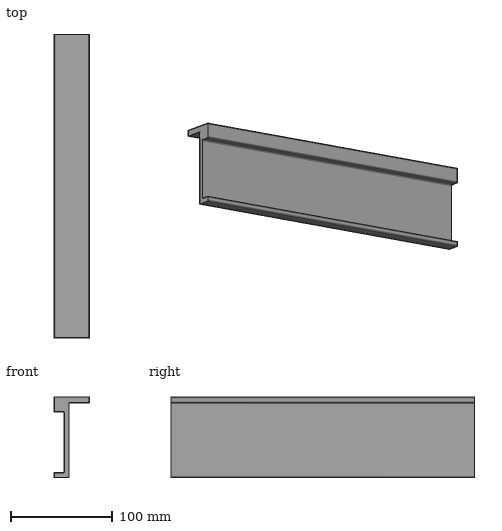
import cadquery as cq

width = 35.0
length = 300.0
height = 80.0

web_thickness = 5.0
foot_width = 15.0
foot_thickness = 5.0
flange_thickness = 6.0
head_depth = 15.0
outer_radius = 1.0
channel_radius = 1.0

left = -width / 2
right = width / 2
bottom = -height / 2
top = height / 2
web_right = left + foot_width
web_left = web_right - web_thickness
foot_top = bottom + foot_thickness
head_bottom = top - head_depth
flange_bottom = top - flange_thickness

outer_corners = [
    (left, bottom),
    (web_right, bottom),
    (right, flange_bottom),
    (right, top),
    (left, top),
    (left, head_bottom),
    (left, foot_top),
]

channel_corners = [
    (web_left, head_bottom),
    (web_left, foot_top),
]


def make_sharp_rail():
    """Extrude the sharp-cornered section along Y, centred on the XZ plane."""
    outline = [
        (left, bottom),
        (web_right, bottom),
        (web_right, flange_bottom),
        (right, flange_bottom),
        (right, top),
        (left, top),
        (left, head_bottom),
        (web_left, head_bottom),
        (web_left, foot_top),
        (left, foot_top),
    ]
    return cq.Workplane("XZ").polyline(outline).close().extrude(length / 2, both=True)


def fillet_corners(rail, corners, radius):
    """Round the lengthwise edges that run through the given section corners."""
    for x, z in corners:
        corner_edge = cq.selectors.NearestToPointSelector((x, 0, z))
        rail = rail.edges(corner_edge).fillet(radius)
    return rail


result = make_sharp_rail()
result = fillet_corners(result, outer_corners, outer_radius)
result = fillet_corners(result, channel_corners, channel_radius)